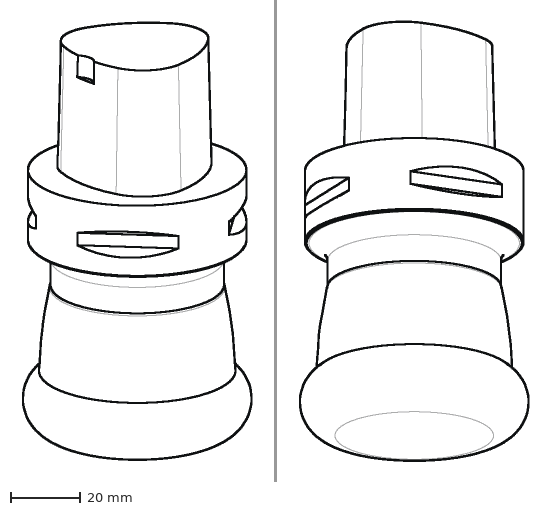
import cadquery as cq
import math

total_height = 118.0
flange_top = 79.9
flange_bottom = 58.0
neck_bottom = 44.8
bell_top = 44.1
bell_mid_height = 32.5

flange_radius = 63.0 / 2
neck_radius = 50.0 / 2
bell_top_radius = 25.3
bell_mid_radius = 27.3
bell_bottom_radius = 56.6 / 2
neck_fillet = 5.3
flange_chamfer = 0.5

ring_outer_radius = 66.0 / 2
rim_radius = 10.1
rim_center_radius = ring_outer_radius - rim_radius
ring_height = rim_radius + math.sqrt(rim_radius**2 - (bell_bottom_radius - rim_center_radius) ** 2)

lobe_reach = 23.6
side_reach = 20.2
lobe_radius = 14.2
shank_taper = math.degrees(math.atan(1 / 40))
lobe_count = 3
lobe_pitch = 360 / lobe_count
first_side_angle = -90

notch_radius = 5.7
notch_floor_y = -17.7
notch_depth = 6.6

slot_count = 4
slot_first_angle = 45
slot_floor_distance = 27.91
slot_floor_width = 3.8
slot_center_height = 68.0
slot_flare = 30
slot_length = 2 * flange_radius


def polar(radius, angle):
    """Point at a radius and an angle in degrees."""
    return radius * math.cos(math.radians(angle)), radius * math.sin(math.radians(angle))


def make_turned_holder():
    """Flange, filleted neck and curved bell as one revolved shape."""
    fillet_edge_radius = neck_radius + neck_fillet
    fillet_bottom = flange_bottom - neck_fillet
    fillet_middle = polar(neck_fillet, 135)
    return (
        cq.Workplane("XZ")
        .moveTo(0, ring_height)
        .lineTo(bell_bottom_radius, ring_height)
        .threePointArc((bell_mid_radius, bell_mid_height), (bell_top_radius, bell_top))
        .lineTo(neck_radius, neck_bottom)
        .lineTo(neck_radius, fillet_bottom)
        .threePointArc(
            (fillet_edge_radius + fillet_middle[0], fillet_bottom + fillet_middle[1]),
            (fillet_edge_radius, flange_bottom),
        )
        .lineTo(flange_radius - flange_chamfer, flange_bottom)
        .lineTo(flange_radius, flange_bottom + flange_chamfer)
        .lineTo(flange_radius, flange_top)
        .lineTo(0, flange_top)
        .close()
        .revolve(360, (0, 0), (0, 1))
    )


def make_shank():
    """Three-lobed taper made of side arcs tangent to lobe arcs."""
    lobe_offset = lobe_reach - lobe_radius
    along = lobe_offset * math.cos(math.radians(lobe_pitch / 2))
    across = lobe_offset * math.sin(math.radians(lobe_pitch / 2))
    gap = side_reach - lobe_radius
    side_offset = (along**2 + across**2 - gap**2) / (2 * (gap - along))
    side_radius = side_offset + side_reach

    contact = math.atan2(across, along + side_offset)
    join_along = side_radius * math.cos(contact) - side_offset
    join_across = side_radius * math.sin(contact)
    join_radius = math.hypot(join_along, join_across)
    join_angle = math.degrees(math.atan2(join_across, join_along))

    outline = cq.Workplane("XY", origin=(0, 0, flange_top))
    outline = outline.moveTo(*polar(join_radius, first_side_angle - join_angle))
    for index in range(lobe_count):
        side_angle = first_side_angle + index * lobe_pitch
        next_side_angle = side_angle + lobe_pitch
        outline = outline.threePointArc(
            polar(side_reach, side_angle), polar(join_radius, side_angle + join_angle)
        )
        outline = outline.threePointArc(
            polar(lobe_reach, side_angle + lobe_pitch / 2),
            polar(join_radius, next_side_angle - join_angle),
        )
    return outline.close().extrude(total_height - flange_top, taper=shank_taper)


def make_notch():
    """Upright cylinder that cuts a shallow notch into the first side of the shank."""
    return (
        cq.Workplane("XY", origin=(0, notch_floor_y - notch_radius, total_height - notch_depth))
        .circle(notch_radius)
        .extrude(notch_depth)
    )


def make_gripper_slot(angle):
    """Flared straight slot, cut into the rim at the given angle."""
    slot_depth = flange_radius - slot_floor_distance
    half_floor = slot_floor_width / 2
    half_mouth = half_floor + slot_depth * math.tan(math.radians(slot_flare))
    return (
        cq.Workplane("XZ")
        .polyline([
            (slot_floor_distance, slot_center_height - half_floor),
            (flange_radius, slot_center_height - half_mouth),
            (flange_radius, slot_center_height + half_mouth),
            (slot_floor_distance, slot_center_height + half_floor),
        ])
        .close()
        .extrude(slot_length / 2, both=True)
        .rotate((0, 0, 0), (0, 0, 1), angle)
    )


def make_holder():
    """Shank, flange, neck and bell in one piece."""
    body = make_turned_holder().union(make_shank()).cut(make_notch())
    for index in range(slot_count):
        body = body.cut(make_gripper_slot(slot_first_angle + index * 360 / slot_count))
    return body


def make_ring():
    """Round-rimmed disc that the bell stands on."""
    return (
        cq.Workplane("XZ")
        .lineTo(rim_center_radius, 0)
        .threePointArc((ring_outer_radius, rim_radius), (bell_bottom_radius, ring_height))
        .lineTo(0, ring_height)
        .close()
        .revolve(360, (0, 0), (0, 1))
    )


holder = make_holder()
ring = make_ring()

result = cq.Compound.makeCompound([holder.solids().val(), ring.val()])